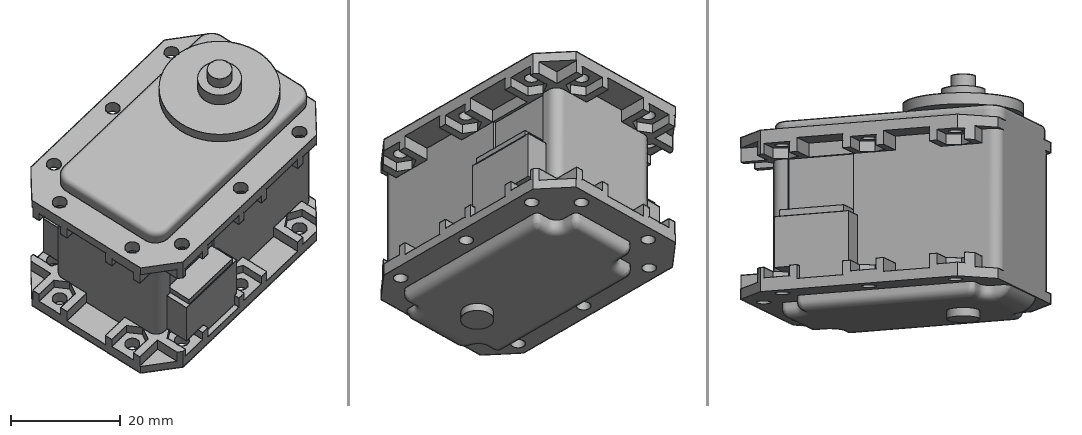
import cadquery as cq
import math


case_width = 24.4
case_length = 45.0
case_height = 35.35
case_back = 12.05
case_front = case_back - case_length
case_middle_y = (case_back + case_front) / 2
body_corner_radius = 2.0
lid_corner_radius = 3.0
lid_edge_radius = 1.0

cap_edge_radius = 1.5
cap_back_radius = 4.0
relief_size = 5.0
relief_inner_radius = 2.0
relief_outer_radius = 1.0

flange_width = 35.6
flange_length = 50.6
flange_thickness = 4.5
flange_web = 1.9
flange_front = case_back - flange_length
flange_middle_y = case_back - flange_length / 2
flange_chamfer_x = 5.1
flange_chamfer_y = 5.95
lower_flange_bottom = 2.7
flange_gap = 21.0
lower_flange_top = lower_flange_bottom + flange_thickness
upper_flange_bottom = lower_flange_top + flange_gap
upper_flange_top = upper_flange_bottom + flange_thickness

hole_diameter = 2.7
hole_pitch = 17.0
hole_edge_distance = 2.85
first_side_hole_y = 4.6
nut_width = 5.0
nut_pocket_depth = 1.95
boss_wall = 1.5
boss_width = nut_width + 2 * boss_wall
boss_depth = flange_width / 2 - case_width / 2 + boss_wall

connector_middle_y = -23.0
connector_width = 14.5
connector_reach = 16.75
connector_top = 16.65
plug_width = 12.55
plug_reach = 16.6
plug_top = 17.85
recess_width = 12.8
recess_depth = 0.5

shaft_steps = [(10.0, 0.8), (22.0, 2.05), (8.0, 2.75), (4.5, 2.55)]
pin_diameter = 6.0
pin_length = 1.55


def case_block(bottom, top):
    """Square-cornered block with the housing footprint."""
    return (
        cq.Workplane("XY", origin=(0, case_middle_y, bottom))
        .rect(case_width, case_length)
        .extrude(top - bottom)
    )


def make_bottom_cap():
    """Cap with square reliefs in its corners and a large round along the back of its underside."""
    cap = case_block(0, lower_flange_top).edges("<Z and >Y").fillet(cap_back_radius)
    for x in (-case_width / 2, case_width / 2):
        for y in (case_front, case_back):
            relief = (
                cq.Workplane("XY", origin=(x, y, 0))
                .rect(2 * relief_size, 2 * relief_size)
                .extrude(lower_flange_top)
                .edges("|Z")
                .fillet(relief_inner_radius)
            )
            cap = cap.cut(relief)
    cap = cap.edges("|Z and (<X or >X or <Y)").fillet(relief_outer_radius)
    return cap.faces("<Z").edges("not >Y").fillet(cap_edge_radius)


def make_case():
    body = case_block(lower_flange_bottom, upper_flange_top).edges("|Z").fillet(body_corner_radius)
    lid = case_block(upper_flange_bottom, case_height).edges("|Z").fillet(lid_corner_radius)
    lid = lid.faces(">Z").edges().fillet(lid_edge_radius)
    return body.union(lid)


def hole_stations():
    """(x, y, turn) of every hole; turn points the open pocket side outward from -Y."""
    side_x = flange_width / 2 - hole_edge_distance
    stations = []
    for row in range(3):
        y = first_side_hole_y - row * hole_pitch
        stations.append((-side_x, y, -90))
        stations.append((side_x, y, 90))
    for x in (-hole_pitch / 2, hole_pitch / 2):
        stations.append((x, flange_front + hole_edge_distance, 0))
    return stations


def place(solid, station):
    x, y, turn = station
    return solid.rotate((0, 0, 0), (0, 0, 1), turn).translate((x, y, 0))


def flange_plate(thickness):
    half_width = flange_width / 2
    shoulder = half_width - flange_chamfer_x
    front_y = flange_front + flange_chamfer_y
    back_y = case_back - flange_chamfer_y
    outline = [
        (-shoulder, flange_front),
        (shoulder, flange_front),
        (half_width, front_y),
        (half_width, back_y),
        (shoulder, case_back),
        (-shoulder, case_back),
        (-half_width, back_y),
        (-half_width, front_y),
    ]
    return cq.Workplane("XY").polyline(outline).close().extrude(thickness)


def make_blank_flange():
    """Flange with its outer face at Z = 0 and square bosses rising toward +Z."""
    boss = cq.Workplane("XY").box(boss_width, boss_depth, flange_thickness, centered=(True, False, False))
    boss = boss.translate((0, -hole_edge_distance, 0))
    bosses = cq.Workplane("XY")
    for station in hole_stations():
        bosses = bosses.union(place(boss, station))
    return flange_plate(flange_web).union(bosses.intersect(flange_plate(flange_thickness)))


def make_nut_cuts():
    """Screw holes with hexagonal nut pockets that run out through the flange edge."""
    half = nut_width / 2
    corner_y = half * math.tan(math.radians(30))
    tip_y = nut_width / math.sqrt(3)
    pocket = (
        cq.Workplane("XY", origin=(0, 0, flange_thickness - nut_pocket_depth))
        .polyline([(-half, -hole_edge_distance), (half, -hole_edge_distance),
                   (half, corner_y), (0, tip_y), (-half, corner_y)])
        .close()
        .extrude(nut_pocket_depth)
    )
    drill = cq.Workplane("XY").circle(hole_diameter / 2).extrude(flange_thickness)
    tool = pocket.union(drill)
    cuts = cq.Workplane("XY")
    for station in hole_stations():
        cuts = cuts.union(place(tool, station))
    return cuts


def connector_block(width, reach, bottom, top):
    return (
        cq.Workplane("XY", origin=(0, connector_middle_y, bottom))
        .rect(2 * reach, width)
        .extrude(top - bottom)
    )


def make_connectors():
    floor = lower_flange_bottom + flange_web
    housing = connector_block(connector_width, connector_reach, floor, connector_top)
    return housing.union(connector_block(plug_width, plug_reach, floor, plug_top))


def cut_cable_recesses(case):
    height = upper_flange_bottom - lower_flange_top
    for side in (-1, 1):
        x = side * (case_width / 2)
        recess = cq.Workplane("XY").box(2 * recess_depth, recess_width, height, centered=(True, True, False))
        case = case.cut(recess.translate((x, connector_middle_y, lower_flange_top)))
    return case


def make_shaft():
    shaft = cq.Workplane("XY").circle(pin_diameter / 2).extrude(pin_length + lower_flange_top)
    shaft = shaft.translate((0, 0, -pin_length))
    z = case_height
    for diameter, height in shaft_steps:
        shaft = shaft.union(cq.Workplane("XY", origin=(0, 0, z)).circle(diameter / 2).extrude(height))
        z += height
    return shaft


blank_flange = make_blank_flange()
nut_cuts = make_nut_cuts()
lower_flange = blank_flange.translate((0, 0, lower_flange_bottom))
lower_cuts = nut_cuts.translate((0, 0, lower_flange_bottom))
upper_flange = blank_flange.mirror("XY").translate((0, 0, upper_flange_top))
upper_cuts = nut_cuts.mirror("XY").translate((0, 0, upper_flange_top))

case = cut_cable_recesses(make_case()).union(make_bottom_cap())
assembly = case.union(lower_flange).union(upper_flange).union(make_connectors()).union(make_shaft())
result = assembly.cut(lower_cuts).cut(upper_cuts)